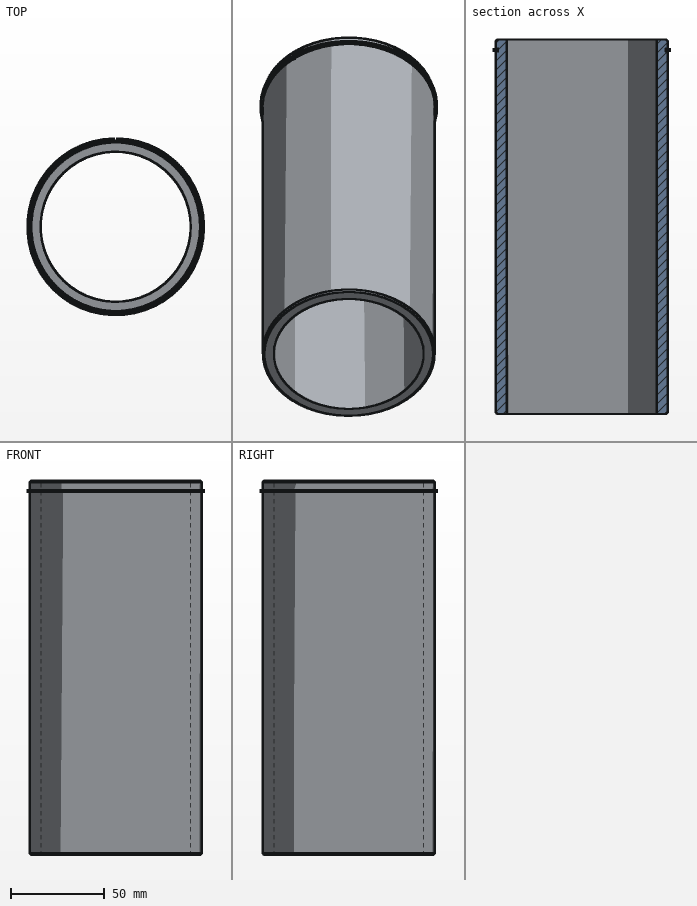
import cadquery as cq

LENGTH = 200.0
OUTER_DIAMETER = 92.0
BORE_DIAMETER = 80.0
CHAMFER = 1.0

RING_DIAMETER = 94.5
RING_THICKNESS = 1.2
RING_TOP_OFFSET = 5.0
GROOVE_DEPTH = 1.2
RING_GAP = 1.5

outer_radius = OUTER_DIAMETER / 2
groove_diameter = OUTER_DIAMETER - 2 * GROOVE_DEPTH
ring_bottom = LENGTH - RING_TOP_OFFSET - RING_THICKNESS


def make_annulus(outer_diameter):
    """Flat annulus from the groove floor outward, at the height of the ring."""
    return (
        cq.Workplane("XY")
        .workplane(offset=ring_bottom)
        .circle(outer_diameter / 2)
        .circle(groove_diameter / 2)
        .extrude(RING_THICKNESS)
    )


def make_sleeve():
    """Tube with chamfered outer end edges and a groove for the ring."""
    bore_radius = BORE_DIAMETER / 2
    end_radius = outer_radius - CHAMFER
    wall_profile = [
        (bore_radius, 0),
        (end_radius, 0),
        (outer_radius, CHAMFER),
        (outer_radius, LENGTH - CHAMFER),
        (end_radius, LENGTH),
        (bore_radius, LENGTH),
    ]
    tube = cq.Workplane("XZ").polyline(wall_profile).close().revolve(360, (0, 0), (0, 1))
    return tube.cut(make_annulus(RING_DIAMETER))


def make_retaining_ring():
    """Snap ring filling the groove, split by a narrow gap on the +Y side."""
    gap = (
        cq.Workplane("XY")
        .workplane(offset=ring_bottom)
        .center(0, RING_DIAMETER / 2)
        .rect(RING_GAP, RING_DIAMETER / 2)
        .extrude(RING_THICKNESS)
    )
    return make_annulus(RING_DIAMETER).cut(gap)


sleeve = make_sleeve()
retaining_ring = make_retaining_ring()

result = cq.Compound.makeCompound([sleeve.val(), retaining_ring.val()])